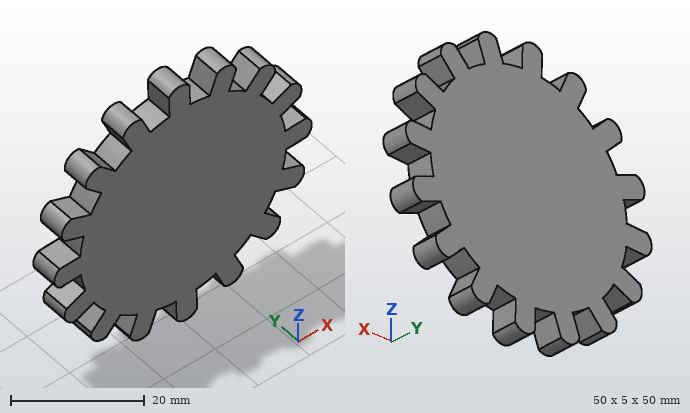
import cadquery as cq
import math

thickness = 5.0
root_radius = 20.0
outer_radius = 25.0

tooth_count = 16
tooth_width = 4.0
flank_end_distance = 24.0
first_tooth_angle = 1.8

half_width = tooth_width / 2
flank_end_position = math.sqrt(flank_end_distance**2 - half_width**2)
tooth_pitch_angle = 360 / tooth_count

tooth_start_position = root_radius - half_width


def disc():
    """Round body at the root radius, its axis along Y and centred on the origin."""
    return cq.Workplane("XZ").circle(root_radius).extrude(thickness / 2, both=True)


def tooth(angle):
    """Radial tooth pointing along +X, then turned about Y by angle from +X towards +Z."""
    blank = (
        cq.Workplane("XZ")
        .moveTo(tooth_start_position, -half_width)
        .lineTo(flank_end_position, -half_width)
        .threePointArc((outer_radius, 0), (flank_end_position, half_width))
        .lineTo(tooth_start_position, half_width)
        .close()
        .extrude(thickness / 2, both=True)
    )
    return blank.rotate((0, 0, 0), (0, 1, 0), -angle)


def gear():
    """Disc with all teeth evenly spaced around its rim."""
    body = disc()
    for index in range(tooth_count):
        body = body.union(tooth(first_tooth_angle + index * tooth_pitch_angle))
    return body


result = gear()